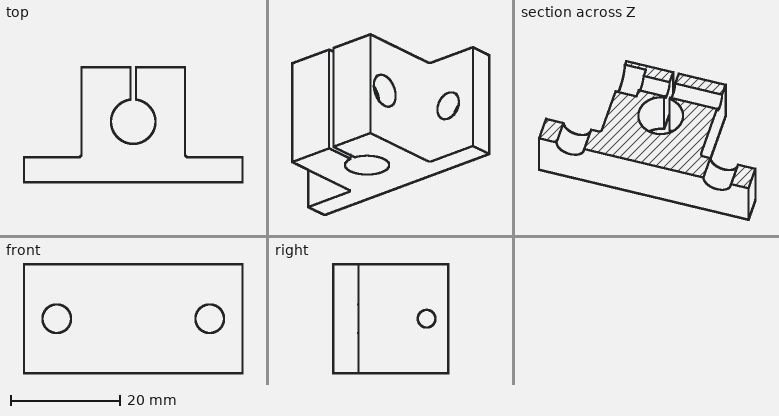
import cadquery as cq

length = 40.0
height = 20.0
flange_thickness = 4.62
mount_hole_diameter = 5.2
mount_hole_spacing = 28.0

total_depth = 21.12
block_width = 19.0
root_fillet_radius = 0.5

bore_diameter = 8.1
bore_y = 11.12
slit_width = 1.0

screw_y = total_depth - 4.0
screw_clearance_diameter = 3.2
screw_head_diameter = 6.1
screw_head_depth = 4.0


def make_body():
    """T-shaped body: flange plus clamp block, with rounded inner corners."""
    flange = cq.Workplane("XY").box(length, flange_thickness, height, centered=(True, False, True))
    block = cq.Workplane("XY").box(block_width, total_depth, height, centered=(True, False, True))
    half_width = block_width / 2
    inner_corners = cq.selectors.BoxSelector(
        (-half_width - root_fillet_radius, flange_thickness - root_fillet_radius, -height),
        (half_width + root_fillet_radius, flange_thickness + root_fillet_radius, height),
    )
    return flange.union(block).edges("|Z").edges(inner_corners).fillet(root_fillet_radius)


def make_cylinder_along_x(diameter, start_x, end_x):
    """Cylinder on the clamp screw axis between two X positions."""
    return (
        cq.Workplane("YZ", origin=(start_x, screw_y, 0))
        .circle(diameter / 2)
        .extrude(end_x - start_x)
    )


def make_mount_holes():
    """Two screw holes through the flange along Y."""
    return (
        cq.Workplane("XZ")
        .rarray(mount_hole_spacing, 1, 2, 1)
        .circle(mount_hole_diameter / 2)
        .extrude(-flange_thickness)
    )


def make_bore_and_slit():
    """Shaft bore along Z, opened to the +Y face by a narrow slit."""
    bore = cq.Workplane("XY").center(0, bore_y).circle(bore_diameter / 2).extrude(height / 2, both=True)
    slit = cq.Workplane("XY", origin=(0, bore_y, 0)).box(
        slit_width, total_depth - bore_y, height, centered=(True, False, True)
    )
    return bore.union(slit)


def make_clamp_screw_hole():
    """Clearance hole through both jaws, counterbored on the -X side."""
    half_width = block_width / 2
    head = make_cylinder_along_x(screw_head_diameter, -half_width, -half_width + screw_head_depth)
    clearance = make_cylinder_along_x(screw_clearance_diameter, -half_width, half_width)
    return head.union(clearance)


result = (
    make_body()
    .cut(make_mount_holes())
    .cut(make_bore_and_slit())
    .cut(make_clamp_screw_hole())
)